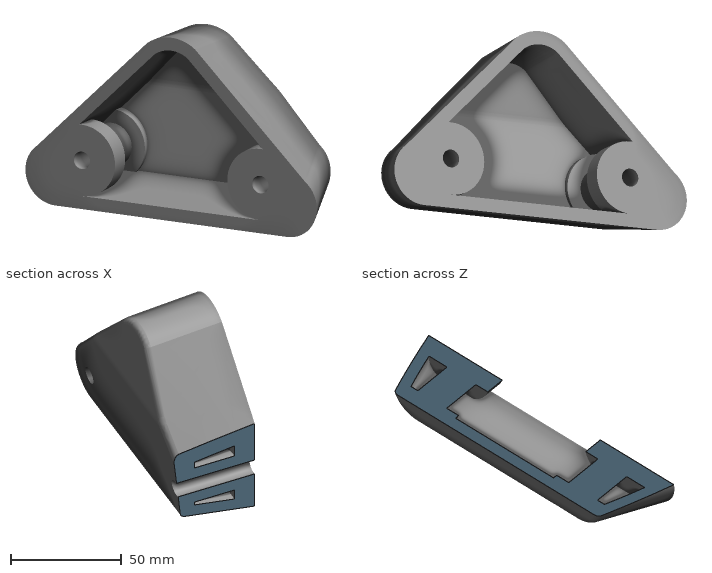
import cadquery as cq
import math

WIDTH = 146.98
HEIGHT = 85.96
DEPTH = 41.83

CORNER_RADIUS = 15.0
APEX_RADIUS = 20.0
WALL = 6.1

BOTTOM_LEAN = math.tan(math.radians(10.0))
TOP_LEAN = math.tan(math.radians(4.0))
END_LEAN = math.tan(math.radians(17.4))

RIDGE_HEIGHT = 53.2
LOWER_SLOPE = math.radians(5.8)
UPPER_SLOPE = math.radians(8.7)
RIDGE_RADIUS = 12.0
BACK_EDGE_RADIUS = 3.0

BOSS_X = 45.0
BOSS_Z = 22.8
FLANGE_RADIUS = 16.7
FRONT_FLANGE_THICKNESS = 10.2
BACK_FLANGE_START = 30.0
NECK_DIAMETER = 20.2
SCREW_HOLE_DIAMETER = 8.2

OVERRUN = 8.0

BACK_ZONE = 8.0


def section(depth, inset):
    """Rounded triangle at the given depth, moved inwards by inset."""
    corner_radius = CORNER_RADIUS - inset
    apex_radius = APEX_RADIUS - inset
    corner_x = WIDTH / 2 - CORNER_RADIUS - END_LEAN * depth
    corner_z = CORNER_RADIUS + BOTTOM_LEAN * depth
    apex_z = HEIGHT - APEX_RADIUS - TOP_LEAN * depth

    rise = apex_z - corner_z
    tilt = math.asin((apex_radius - corner_radius) / math.hypot(corner_x, rise))
    normal = math.atan2(rise, -corner_x) - math.pi / 2 + tilt

    def on_corner(angle):
        return corner_x + corner_radius * math.cos(angle), corner_z + corner_radius * math.sin(angle)

    side_low = on_corner(normal)
    corner_middle = on_corner((normal - math.pi / 2) / 2)
    side_high = (apex_radius * math.cos(normal), apex_z + apex_radius * math.sin(normal))
    bottom = corner_z - corner_radius

    def mirrored(point):
        return -point[0], point[1]

    return (
        cq.Workplane("XZ", origin=(0, depth, 0))
        .moveTo(-corner_x, bottom)
        .lineTo(corner_x, bottom)
        .threePointArc(corner_middle, side_low)
        .lineTo(*side_high)
        .threePointArc((0, apex_z + apex_radius), mirrored(side_high))
        .lineTo(*mirrored(side_low))
        .threePointArc(mirrored(corner_middle), (-corner_x, bottom))
        .close()
        .val()
    )


def tapered_prism(inset):
    """Rounded triangular prism that narrows towards the back."""
    sections = [section(0, inset), section(DEPTH + OVERRUN, inset)]
    return cq.Workplane(cq.Solid.makeLoft(sections, True))


def gabled_block(inset):
    """Everything in front of the two sloping back faces, moved inwards by inset."""
    half_angle = (UPPER_SLOPE + LOWER_SLOPE) / 2
    ridge_lost = RIDGE_RADIUS * (1 / math.cos(half_angle) - 1)
    lean = (UPPER_SLOPE - LOWER_SLOPE) / 2
    ridge_shift = inset / math.cos(half_angle)
    ridge_y = DEPTH + ridge_lost - ridge_shift * math.cos(lean)
    ridge_z = RIDGE_HEIGHT - ridge_shift * math.sin(lean)
    block = (
        cq.Workplane("YZ", origin=(-WIDTH / 2, 0, 0))
        .moveTo(0, 0)
        .lineTo(ridge_y - ridge_z * math.tan(LOWER_SLOPE), 0)
        .lineTo(ridge_y, ridge_z)
        .lineTo(ridge_y - (HEIGHT - ridge_z) * math.tan(UPPER_SLOPE), HEIGHT)
        .lineTo(0, HEIGHT)
        .close()
        .extrude(WIDTH)
    )
    return block.edges("|X").edges(">Y").fillet(RIDGE_RADIUS)


def outer_body():
    """Solid block with its back outline rounded over."""
    body = tapered_prism(0).intersect(gabled_block(0))
    half_width = WIDTH / 2
    back_faces = cq.selectors.BoxSelector(
        (-half_width, DEPTH - BACK_ZONE, 0), (half_width, DEPTH + OVERRUN, HEIGHT)
    )
    return body.faces(back_faces).edges().fillet(BACK_EDGE_RADIUS)


def cavity():
    """Space left inside walls of even thickness, before the bosses are added."""
    return tapered_prism(WALL).intersect(gabled_block(WALL))


def boss_cylinder(side, radius, start, end):
    """Cylinder on one boss axis; side is -1 or 1, start and end are depths."""
    return cq.Workplane("XZ", origin=(side * BOSS_X, start, BOSS_Z)).circle(radius).extrude(start - end)


def flange(side, start, end):
    """Disc about the boss axis, widened straight outwards into the walls."""
    web_length = WIDTH / 2 - BOSS_X
    web = (
        cq.Workplane("XZ", origin=(side * (BOSS_X + web_length / 2), start, BOSS_Z))
        .rect(web_length, 2 * FLANGE_RADIUS)
        .extrude(start - end)
    )
    return boss_cylinder(side, FLANGE_RADIUS, start, end).union(web)


hollow = cavity()
for side in (-1, 1):
    hollow = hollow.cut(flange(side, 0, FRONT_FLANGE_THICKNESS))
    hollow = hollow.cut(boss_cylinder(side, NECK_DIAMETER / 2, 0, DEPTH))
    hollow = hollow.cut(flange(side, BACK_FLANGE_START, DEPTH))

result = outer_body().cut(hollow)
for side in (-1, 1):
    result = result.cut(boss_cylinder(side, SCREW_HOLE_DIAMETER / 2, 0, DEPTH))